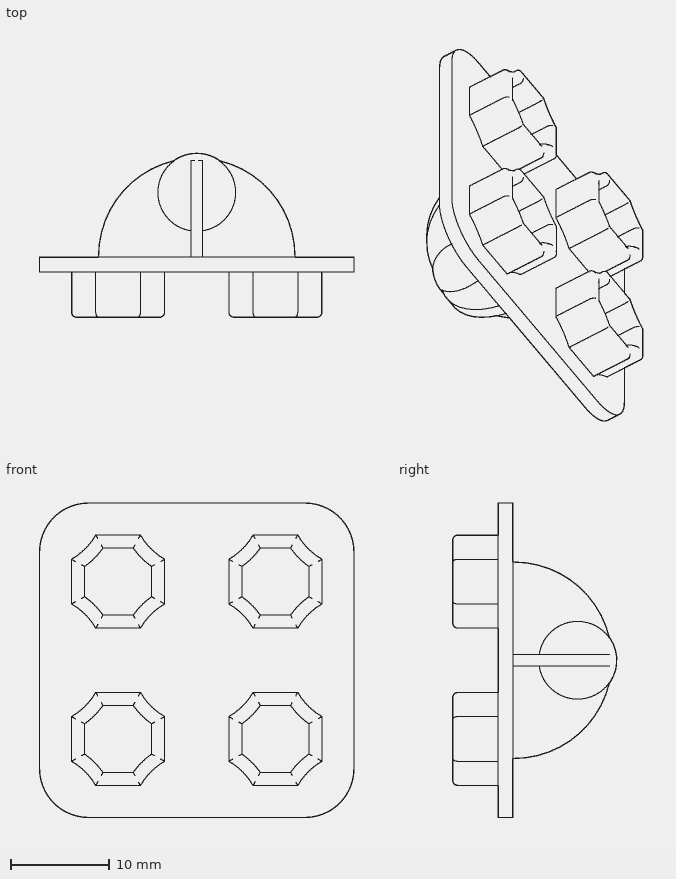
import cadquery as cq
import math

plate_side = 32
plate_thickness = 1.5
plate_corner_radius = 5.0

stud_pitch = 16
stud_width = 9.47
stud_height = 4.6
stud_wall = 1.35
rim_fillet = 0.5
relief_radius = 6.6

fin_diameter = 20.0
fin_thickness = 1.2
fin_foot_height = 0.1
ball_diameter = 8
ball_centre_height = 6.6


def stud_outline(inset):
    """Octagon with flat axis-parallel sides and concave diagonal sides, offset inward by inset."""
    relief_centre = stud_pitch / 2
    radius = relief_radius + inset
    half_width = stud_width / 2 - inset
    half_flat = relief_centre - math.sqrt(radius**2 - (relief_centre - half_width) ** 2)
    arc_middle = relief_centre - radius / math.sqrt(2)

    outline = cq.Workplane("XZ").moveTo(half_flat, half_width)
    for side_x, side_z in ((1, 1), (1, -1), (-1, -1), (-1, 1)):
        if side_x == side_z:
            arc_end = (side_x * half_width, side_z * half_flat)
            flat_end = (side_x * half_width, -side_z * half_flat)
        else:
            arc_end = (side_x * half_flat, side_z * half_width)
            flat_end = (-side_x * half_flat, side_z * half_width)
        outline = outline.threePointArc((side_x * arc_middle, side_z * arc_middle), arc_end)
        outline = outline.lineTo(*flat_end)
    return outline.close()


def make_stud():
    """Hollow stud standing on the plate front, with both edges of its rim rounded."""
    outside = stud_outline(0).extrude(stud_height)
    bore = stud_outline(stud_wall).extrude(stud_height)
    return outside.cut(bore).faces("<Y").edges().fillet(rim_fillet)


def make_plate():
    plate = cq.Workplane("XZ").rect(plate_side, plate_side).extrude(-plate_thickness)
    return plate.edges("|Y").fillet(plate_corner_radius)


def make_fin():
    """Half disc on a short straight foot, standing on the plate back face in the XY plane."""
    radius = fin_diameter / 2
    arc_base = plate_thickness + fin_foot_height
    return (
        cq.Workplane("XY")
        .moveTo(-radius, plate_thickness)
        .lineTo(-radius, arc_base)
        .threePointArc((0, arc_base + radius), (radius, arc_base))
        .lineTo(radius, plate_thickness)
        .close()
        .extrude(fin_thickness / 2, both=True)
    )


def make_ball():
    ball_y = plate_thickness + ball_centre_height
    return cq.Workplane("XY").sphere(ball_diameter / 2).translate((0, ball_y, 0))


result = make_plate()

stud = make_stud()
for stud_x in (-stud_pitch / 2, stud_pitch / 2):
    for stud_z in (-stud_pitch / 2, stud_pitch / 2):
        result = result.union(stud.translate((stud_x, 0, stud_z)))

fin = make_fin()
for fin_angle in (0, 90):
    result = result.union(fin.rotate((0, 0, 0), (0, 1, 0), fin_angle))

result = result.union(make_ball())